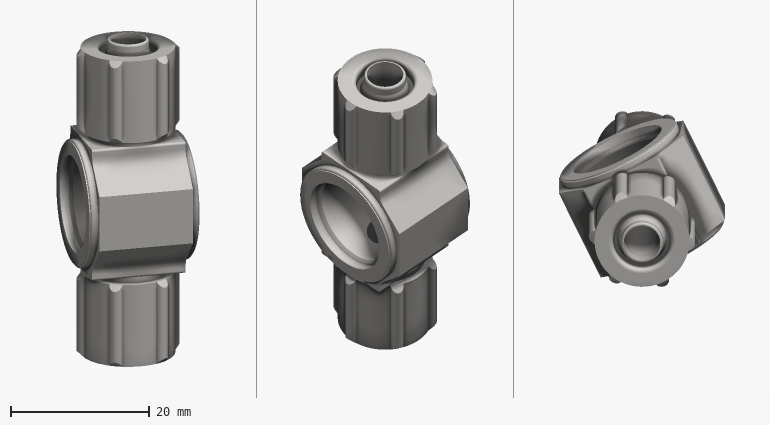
import cadquery as cq
import math

total_height = 49.0

body_width = 20.0
body_depth = 14.0
body_corner = body_width / 2 * math.tan(math.radians(22.5))
shoulder_width = 12.0
shoulder_edge_round = 0.35
shoulder_fillet = 1.95

hub_depth = 16.5
hub_rim_depth = 16.15
hub_rim_chamfer = 0.122
hub_diameter = 18.8
hub_face_diameter = 18.2
bore_diameter = 13.2
bore_mouth_diameter = 14.2
bore_mouth_depth = 1.3

neck_diameter = 12.0

nut_bottom = 10.85
nut_top = 23.3
nut_diameter = 13.7
nut_hole_diameter = 8.4
nut_hole_round = 0.65
nut_floor = 21.65
rib_count = 6
rib_radius = 0.955
rib_center_radius = 6.75

channel_diameter = 5.3
spigot_diameter = 6.1
spigot_base_diameter = 7.25
spigot_straight_end = 23.15
spigot_edge_round = 0.35


def disc(diameter, bottom, top):
    """Upright cylinder on the Z axis between two heights."""
    return cq.Workplane("XY").workplane(offset=bottom).circle(diameter / 2).extrude(top - bottom)


def make_body():
    """Regular octagon with square shoulders above and below, blended into the slanted sides."""
    half = body_width / 2
    octagon = (
        cq.Workplane("XZ")
        .polyline([
            (half, body_corner),
            (body_corner, half),
            (-body_corner, half),
            (-half, body_corner),
            (-half, -body_corner),
            (-body_corner, -half),
            (body_corner, -half),
            (half, -body_corner),
        ])
        .close()
        .extrude(body_depth / 2, both=True)
    )
    shoulders = (
        cq.Workplane("XY")
        .box(shoulder_width, body_depth, body_width)
        .edges("|Y")
        .fillet(shoulder_edge_round)
    )
    body = octagon.union(shoulders)
    blend_height = half + body_corner - shoulder_width / 2
    for x in (-shoulder_width / 2, shoulder_width / 2):
        for z in (-blend_height, blend_height):
            corner = cq.selectors.NearestToPointSelector((x, 0, z))
            body = body.edges("|Y").edges(corner).fillet(shoulder_fillet)
    return body


def make_hub():
    """Round hub along Y with a slightly smaller raised face at each end."""
    rim = (
        cq.Workplane("XZ")
        .circle(hub_diameter / 2)
        .extrude(hub_rim_depth / 2, both=True)
        .faces("<Y or >Y")
        .chamfer(hub_rim_chamfer)
    )
    faces = cq.Workplane("XZ").circle(hub_face_diameter / 2).extrude(hub_depth / 2, both=True)
    return rim.union(faces)


def make_bore():
    """Through bore along Y with a wider mouth and a 45 degree lead-in at each end."""
    half = hub_depth / 2
    mouth_end = half - bore_mouth_depth
    bore_end = mouth_end - (bore_mouth_diameter - bore_diameter) / 2
    return (
        cq.Workplane("XY")
        .moveTo(0, -half)
        .lineTo(bore_mouth_diameter / 2, -half)
        .lineTo(bore_mouth_diameter / 2, -mouth_end)
        .lineTo(bore_diameter / 2, -bore_end)
        .lineTo(bore_diameter / 2, bore_end)
        .lineTo(bore_mouth_diameter / 2, mouth_end)
        .lineTo(bore_mouth_diameter / 2, half)
        .lineTo(0, half)
        .close()
        .revolve(360, (0, 0, 0), (0, 1, 0))
    )


def make_nut():
    """Round nut with grip ribs whose ends slope at 45 degrees, open at the top."""
    ribs = (
        cq.Workplane("XY")
        .workplane(offset=nut_bottom)
        .polarArray(rib_center_radius, 90, 360, rib_count)
        .circle(rib_radius)
        .extrude(nut_top - nut_bottom)
    )
    rib_reach = rib_center_radius + rib_radius
    envelope = disc(2 * rib_reach, nut_bottom, nut_top).edges().chamfer(rib_reach - nut_diameter / 2)
    nut = disc(nut_diameter, nut_bottom, nut_top).union(ribs.intersect(envelope))
    nut = nut.cut(disc(nut_hole_diameter, nut_floor, nut_top))
    mouth = nut.faces(">Z").edges(cq.selectors.RadiusNthSelector(0))
    return mouth.fillet(nut_hole_round)


def make_spigot():
    """Hose spigot that widens in a cone down to the nut floor."""
    tip = (
        disc(spigot_diameter, spigot_straight_end, total_height / 2)
        .faces(">Z")
        .edges()
        .fillet(spigot_edge_round)
    )
    cone = (
        cq.Workplane("XY")
        .workplane(offset=nut_floor)
        .circle(spigot_base_diameter / 2)
        .workplane(offset=spigot_straight_end - nut_floor)
        .circle(spigot_diameter / 2)
        .loft()
    )
    return cone.union(tip)


def make_connection():
    """Upper neck, nut and spigot."""
    neck = disc(neck_diameter, body_width / 2, nut_bottom)
    return neck.union(make_nut()).union(make_spigot())


upper = make_connection()
lower = upper.mirror("XY")
channel = disc(channel_diameter, -total_height / 2, total_height / 2)

result = (
    make_body()
    .union(make_hub())
    .union(upper)
    .union(lower)
    .cut(channel)
    .cut(make_bore())
)